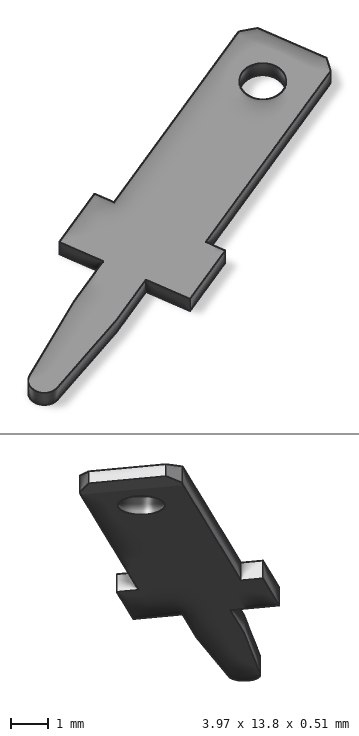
import cadquery as cq

length = 13.77
thickness = 0.51

blade_width = 2.78
corner_run = 0.35
corner_length = 0.39
bevel_length = 0.51
bevel_depth = 0.08
hole_diameter = 1.24
hole_to_end = 1.58

shoulder_width = 3.97
shoulder_bottom = 4.75
shoulder_top = 6.65

pin_width = 1.3
taper_start = 3.17
tip_width = 0.85
tip_length = 0.43


def make_outline():
    """Flat profile of the whole tab, symmetric about the Y axis."""
    right_side = [
        (tip_width / 2, tip_length),
        (pin_width / 2, taper_start),
        (pin_width / 2, shoulder_bottom),
        (shoulder_width / 2, shoulder_bottom),
        (shoulder_width / 2, shoulder_top),
        (blade_width / 2, shoulder_top),
        (blade_width / 2, length - corner_length),
        (blade_width / 2 - corner_run, length),
    ]
    left_side = [(-x, y) for x, y in reversed(right_side)]
    return (
        cq.Workplane("XY")
        .polyline(right_side + left_side)
        .threePointArc((0, 0), right_side[0])
        .close()
    )


def make_tip_bevel(side):
    """Wedge removed from the top (side = 1) or bottom (side = -1) face at the blade end."""
    face = side * thickness / 2
    return (
        cq.Workplane("YZ")
        .polyline([
            (length - bevel_length, face),
            (length, face),
            (length, face - side * bevel_depth),
        ])
        .close()
        .extrude(blade_width / 2, both=True)
    )


body = make_outline().extrude(thickness / 2, both=True)

hole = (
    cq.Workplane("XY")
    .center(0, length - hole_to_end)
    .circle(hole_diameter / 2)
    .extrude(thickness, both=True)
)

result = body.cut(hole)
for side in (1, -1):
    result = result.cut(make_tip_bevel(side))